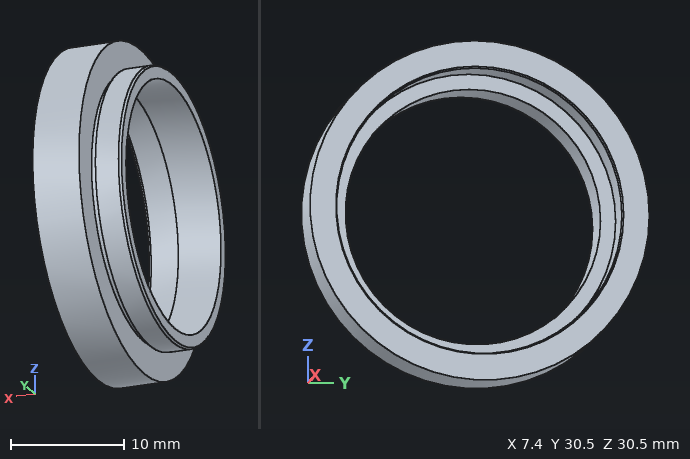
import cadquery as cq

flange_diameter = 30.48
spigot_diameter = 25.35
neck_diameter = 24.4
bore_diameter = 22.9
recess_diameter = 25.6

total_length = 7.4
flange_length = 4.42
neck_length = 0.55
recess_depth = 3.35
chamfer_length = 0.25
chamfer_height = 0.12

flange_start = total_length - flange_length
neck_start = flange_start - neck_length


def cylinder(diameter, start, end):
    """Solid cylinder about the X axis between two X positions."""
    return cq.Workplane("YZ").workplane(offset=start).circle(diameter / 2).extrude(end - start)


def chamfered_spigot():
    """Spigot with a small chamfer on its leading edge."""
    radius = spigot_diameter / 2
    profile = [
        (0, 0),
        (0, radius - chamfer_height),
        (chamfer_length, radius),
        (neck_start, radius),
        (neck_start, 0),
    ]
    return cq.Workplane("XY").polyline(profile).close().revolve(360, (0, 0, 0), (1, 0, 0))


body = chamfered_spigot()
body = body.union(cylinder(neck_diameter, neck_start, flange_start))
body = body.union(cylinder(flange_diameter, flange_start, total_length))

body = body.cut(cylinder(bore_diameter, 0, total_length))
body = body.cut(cylinder(recess_diameter, total_length - recess_depth, total_length))

recess_mouth = body.faces(">X").edges(cq.selectors.RadiusNthSelector(0))
result = recess_mouth.chamfer(chamfer_height, chamfer_length)